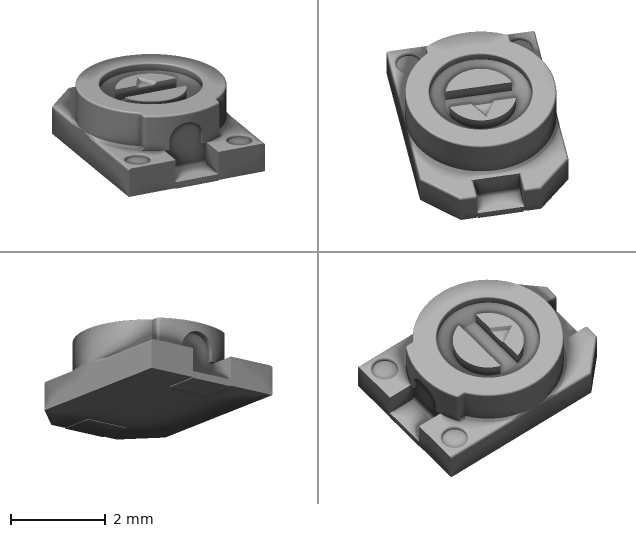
import cadquery as cq
import math

LENGTH = 4.5
WIDTH = 3.2
HEIGHT = 1.46

STANDOFF = 0.015
BASE_TOP = 0.66
CORNER_CHAMFER = 0.735
EDGE_ROUND = 0.055

TERMINAL_WIDTH = 1.0
TERMINAL_LENGTH = 0.81
TERMINAL_THICKNESS = 0.15
NOTCH_DEPTH = 0.495
NOTCH_FILLET = 0.08

RECESS_X = 1.84
RECESS_Y = 1.195
RECESS_RADIUS = 0.26
RECESS_ROUND = 0.06

RING_RADIUS = WIDTH / 2
RING_ROUND = 0.042
SKIRT_TOP = 0.695
SKIRT_RADIUS = 1.667
SKIRT_FOOT_RADIUS = 1.712
TAB_RADIUS = 1.76
TAB_HALF_WIDTH = 0.895
TAB_INNER_FILLET = 0.04
TAB_OUTER_ROUND = 0.08
TAB_FOOT_WIDTH = 0.06
TAB_FOOT_HEIGHT = 0.11

WINDOW_RADIUS = 0.39
WINDOW_CENTER_Z = 0.855
TAB_SIDE_NOTCH_DEPTH = LENGTH / 2 - RING_RADIUS

RUNOUT_PEAK = 0.68
RUNOUT_SLOPE_ANGLE = 60

BORE_RADIUS = 1.09
BORE_ROUND = 0.035
CONE_TOP = 1.29
ROTOR_RADIUS = 0.75
ROTOR_FLOOR = 1.10
ROTOR_TOP = 1.36
SLOT_WIDTH = 0.46

ARROW_TIP_X = -0.664
ARROW_HALF_ANGLE = 30
ARROW_DEPTH = 0.06
ARROW_WALL_TAPER = 45

ARC_MIDPOINT = 1 - math.sqrt(0.5)


def notch_block(depth):
    """Block that cuts a terminal notch of the given depth into the +X end of the plate."""
    return (
        cq.Workplane("XY")
        .box(depth, TERMINAL_WIDTH, BASE_TOP, centered=(False, True, False))
        .translate((LENGTH / 2 - depth, 0, 0))
    )


def base_plate():
    """Plate with clipped corners and a notch at -X; top edges are rounded except at +X and the notch back."""
    plate = (
        cq.Workplane("XY")
        .workplane(offset=STANDOFF)
        .rect(LENGTH, WIDTH)
        .extrude(BASE_TOP - STANDOFF)
        .edges("|Z and <X")
        .chamfer(CORNER_CHAMFER)
        .cut(notch_block(NOTCH_DEPTH).mirror("YZ"))
    )
    for side in (-1, 1):
        mouth_point = (-LENGTH / 2, side * TERMINAL_WIDTH / 2, BASE_TOP / 2)
        mouth_edge = cq.selectors.NearestToPointSelector(mouth_point)
        plate = plate.edges("|Z").edges(mouth_edge).fillet(EDGE_ROUND)
    notch_back_edge = cq.selectors.NearestToPointSelector((NOTCH_DEPTH - LENGTH / 2, 0, BASE_TOP))
    return plate.faces(">Z").edges("not >X").edges(-notch_back_edge).fillet(EDGE_ROUND)


def skirt_runout():
    """Cutter at -Y that trims the skirt to a low peak where the ring touches the side of the plate."""
    half_length = math.sqrt(SKIRT_FOOT_RADIUS**2 - RING_RADIUS**2)
    depth = RING_RADIUS - math.sqrt(RING_RADIUS**2 - half_length**2)
    foot_z = BASE_TOP - EDGE_ROUND
    corners = [
        (-half_length, foot_z),
        (0, RUNOUT_PEAK),
        (half_length, foot_z),
        (half_length, HEIGHT),
        (-half_length, HEIGHT),
    ]
    outline = cq.Wire.makePolygon([cq.Vector(x, -WIDTH / 2, z) for x, z in corners], close=True)
    rise = depth * math.tan(math.radians(RUNOUT_SLOPE_ANGLE))
    return cq.Workplane(cq.Solid.extrudeLinear(outline, [], cq.Vector(0, depth, rise)))


def ring_skirt():
    """Flared foot of the ring, running down over the rounded plate edges and cut flush with them."""
    skirt = (
        cq.Workplane("XZ")
        .moveTo(0, BASE_TOP - EDGE_ROUND)
        .lineTo(SKIRT_FOOT_RADIUS, BASE_TOP - EDGE_ROUND)
        .lineTo(SKIRT_RADIUS, BASE_TOP)
        .lineTo(RING_RADIUS, SKIRT_TOP)
        .lineTo(0, SKIRT_TOP)
        .close()
        .revolve(360, (0, 0, 0), (0, 1, 0))
    )
    skirt = skirt.intersect(cq.Workplane("XY").box(LENGTH, WIDTH, 2 * HEIGHT))
    runout = skirt_runout()
    return skirt.cut(runout).cut(runout.mirror("XZ"))


def ring_body():
    """Solid ring blank with the stop tab on its +X side."""
    ring_height = HEIGHT - BASE_TOP
    ring = cq.Workplane("XY").workplane(offset=BASE_TOP).circle(RING_RADIUS).extrude(ring_height)
    tab = (
        cq.Workplane("XY")
        .workplane(offset=BASE_TOP)
        .circle(TAB_RADIUS)
        .extrude(ring_height)
        .intersect(cq.Workplane("XY").box(LENGTH, 2 * TAB_HALF_WIDTH, 2 * HEIGHT))
        .intersect(cq.Workplane("XY").box(LENGTH, WIDTH, 2 * HEIGHT).translate((LENGTH / 2, 0, 0)))
    )
    blank = ring.union(tab)
    inner_x = math.sqrt(RING_RADIUS**2 - TAB_HALF_WIDTH**2)
    outer_x = math.sqrt(TAB_RADIUS**2 - TAB_HALF_WIDTH**2)
    mid_z = (BASE_TOP + HEIGHT) / 2
    for corner_x, radius in ((inner_x, TAB_INNER_FILLET), (outer_x, TAB_OUTER_ROUND)):
        for side in (-1, 1):
            corner = cq.selectors.NearestToPointSelector((corner_x, side * TAB_HALF_WIDTH, mid_z))
            blank = blank.edges("|Z").edges(corner).fillet(radius)
    return blank.faces(">Z").edges().fillet(RING_ROUND)


def tab_feet():
    """Concave feet along the two straight sides of the stop tab."""
    side_y = TAB_HALF_WIDTH
    foot_y = side_y + TAB_FOOT_WIDTH
    foot = (
        cq.Workplane("YZ")
        .moveTo(0, BASE_TOP)
        .lineTo(foot_y, BASE_TOP)
        .threePointArc(
            (side_y + ARC_MIDPOINT * TAB_FOOT_WIDTH, BASE_TOP + ARC_MIDPOINT * TAB_FOOT_HEIGHT),
            (side_y, BASE_TOP + TAB_FOOT_HEIGHT),
        )
        .lineTo(0, BASE_TOP + TAB_FOOT_HEIGHT)
        .close()
        .extrude(TAB_RADIUS)
    )
    limit = cq.Workplane("XY").circle(TAB_RADIUS).extrude(HEIGHT)
    foot = foot.intersect(limit)
    return foot.union(foot.mirror("XZ"))


def tab_window():
    """Arched window in the face of the stop tab, standing on the +X notch."""
    arch = cq.Workplane("YZ").center(0, WINDOW_CENTER_Z).circle(WINDOW_RADIUS)
    legs_height = WINDOW_CENTER_Z - BASE_TOP
    legs = cq.Workplane("YZ").center(0, BASE_TOP + legs_height / 2).rect(2 * WINDOW_RADIUS, legs_height)
    window = arch.extrude(LENGTH / 2).union(legs.extrude(LENGTH / 2))
    return window.intersect(
        cq.Workplane("XY").box(LENGTH, WIDTH, 2 * HEIGHT).translate((RING_RADIUS + LENGTH / 2, 0, 0))
    )


def bore():
    """Cutter for the bore: rounded mouth, straight wall and a cone down to the rotor floor."""
    return (
        cq.Workplane("XZ")
        .moveTo(0, ROTOR_FLOOR)
        .lineTo(ROTOR_RADIUS, ROTOR_FLOOR)
        .lineTo(BORE_RADIUS, CONE_TOP)
        .lineTo(BORE_RADIUS, HEIGHT - BORE_ROUND)
        .radiusArc((BORE_RADIUS + BORE_ROUND, HEIGHT), BORE_ROUND)
        .lineTo(0, HEIGHT)
        .close()
        .revolve(360, (0, 0, 0), (0, 1, 0))
    )


def rotor():
    """Round rotor head split by a screwdriver slot, with an arrow engraved beside the slot."""
    head_height = ROTOR_TOP - ROTOR_FLOOR
    floor = cq.Workplane("XY").workplane(offset=ROTOR_FLOOR)
    head = floor.circle(ROTOR_RADIUS).extrude(head_height)
    slot = floor.rect(SLOT_WIDTH, 2 * ROTOR_RADIUS).extrude(head_height)
    arrow_half_width = -ARROW_TIP_X * math.tan(math.radians(ARROW_HALF_ANGLE))
    arrow = (
        cq.Workplane("XY")
        .workplane(offset=ROTOR_TOP)
        .polyline([(ARROW_TIP_X, 0), (0, -arrow_half_width), (0, arrow_half_width)])
        .close()
        .extrude(-ARROW_DEPTH, taper=ARROW_WALL_TAPER)
    )
    return head.cut(slot).cut(arrow)


def terminal(notch_depth):
    """Strip under the +X end of the plate, forming the floor of its notch and curving up the back wall."""
    outer_x = LENGTH / 2
    inner_x = outer_x - TERMINAL_LENGTH
    wall_x = outer_x - notch_depth
    bulge = ARC_MIDPOINT * NOTCH_FILLET
    return (
        cq.Workplane("XZ")
        .moveTo(inner_x, 0)
        .lineTo(outer_x, 0)
        .lineTo(outer_x, TERMINAL_THICKNESS)
        .lineTo(wall_x + NOTCH_FILLET, TERMINAL_THICKNESS)
        .threePointArc(
            (wall_x + bulge, TERMINAL_THICKNESS + bulge),
            (wall_x, TERMINAL_THICKNESS + NOTCH_FILLET),
        )
        .lineTo(inner_x, TERMINAL_THICKNESS + NOTCH_FILLET)
        .close()
        .extrude(TERMINAL_WIDTH / 2, both=True)
    )


def corner_recesses():
    """Cutters for the two shallow recesses with rounded rims."""
    profile = (
        cq.Workplane("XZ")
        .moveTo(0, BASE_TOP - RECESS_ROUND)
        .lineTo(RECESS_RADIUS, BASE_TOP - RECESS_ROUND)
        .radiusArc((RECESS_RADIUS + RECESS_ROUND, BASE_TOP), RECESS_ROUND)
        .lineTo(0, BASE_TOP)
        .close()
        .revolve(360, (0, 0, 0), (0, 1, 0))
    )
    return profile.translate((RECESS_X, RECESS_Y, 0)).union(profile.translate((RECESS_X, -RECESS_Y, 0)))


result = base_plate().union(ring_skirt()).union(ring_body()).union(tab_feet())
result = result.cut(corner_recesses()).cut(bore()).union(rotor())
result = result.cut(notch_block(TAB_SIDE_NOTCH_DEPTH)).cut(tab_window())
result = result.union(terminal(NOTCH_DEPTH).mirror("YZ")).union(terminal(TAB_SIDE_NOTCH_DEPTH))